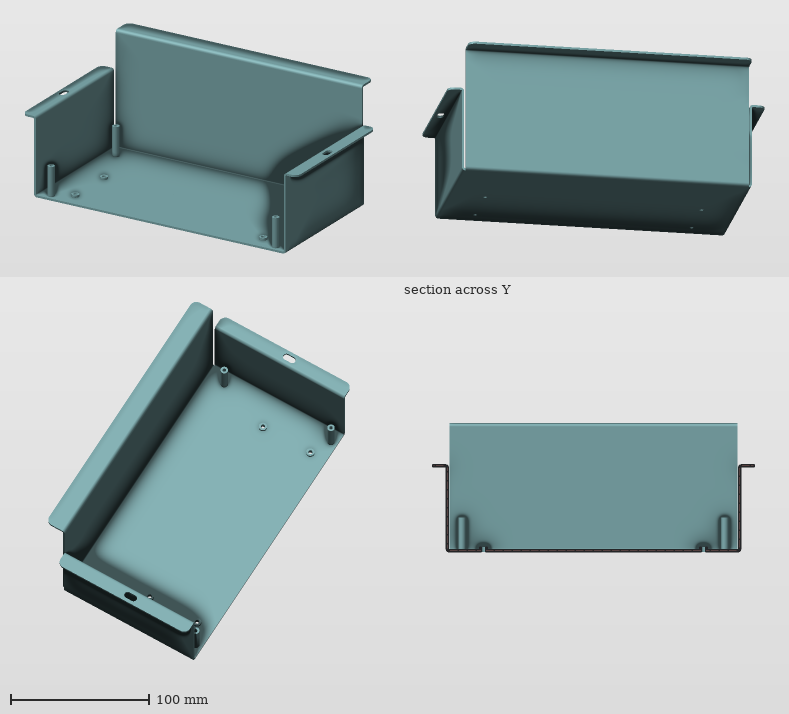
import cadquery as cq
import math

sheet = 1.6
inner_bend = 0.8
outer_bend = inner_bend + sheet

flange_span = 233.0
total_depth = 126.0
back_height = 93.0
side_height = 63.0
side_flange = 10.0
back_flange = 14.6
flange_corner = 5.0

wall_half_width = flange_span / 2 - side_flange
wall_depth = total_depth - back_flange
floor_half_width = wall_half_width - outer_bend
floor_depth = wall_depth - outer_bend

slot_length = 10.0
slot_width = 5.0
slot_inset = 5.0

pin_spacing_x = 190.0
pin_spacing_y = 90.0
pin_front_y = 5.0
pin_diameter = 5.4
pin_bore = 2.5
pin_height = 23.4
pin_middle_y = pin_front_y + pin_spacing_y / 2

bush_spacing_x = 159.0
bush_spacing_y = 40.0
bush_front_y = 13.1
bush_diameter = 6.0
bush_bore = 3.0
bush_height = 1.8
bush_middle_y = bush_front_y + bush_spacing_y / 2


def bent_wall(workplane, wall, tip, height, length):
    """Extrude a Z-shaped sheet strip: floor bend, upright wall, then a flange turned outwards.

    Along the workplane's first axis, the outer wall face is at `wall` and the flange ends at `tip`.
    """
    diagonal = math.sqrt(0.5)
    root = wall - outer_bend
    inside = wall - sheet
    lower_out = (root + outer_bend * diagonal, outer_bend - outer_bend * diagonal)
    lower_in = (root + inner_bend * diagonal, outer_bend - inner_bend * diagonal)
    bend_x = inside + outer_bend
    bend_z = height - outer_bend
    upper_out = (bend_x - outer_bend * diagonal, bend_z + outer_bend * diagonal)
    upper_in = (bend_x - inner_bend * diagonal, bend_z + inner_bend * diagonal)
    return (
        workplane.moveTo(root, 0)
        .threePointArc(lower_out, (wall, outer_bend))
        .lineTo(wall, bend_z)
        .threePointArc(upper_in, (bend_x, height - sheet))
        .lineTo(tip, height - sheet)
        .lineTo(tip, height)
        .lineTo(bend_x, height)
        .threePointArc(upper_out, (inside, bend_z))
        .lineTo(inside, outer_bend)
        .threePointArc(lower_in, (root, sheet))
        .close()
        .extrude(length)
    )


def make_floor():
    return cq.Workplane("XY").box(
        2 * floor_half_width, floor_depth, sheet, centered=(True, False, False)
    )


def make_right_side():
    wall = bent_wall(
        cq.Workplane("XZ"), wall_half_width, flange_span / 2, side_height, -floor_depth
    )
    wall = wall.faces(">X").edges("|Z").fillet(flange_corner)
    slot = (
        cq.Workplane("XY", origin=(flange_span / 2 - slot_inset, pin_middle_y, side_height - sheet))
        .slot2D(slot_length, slot_width, 90)
        .extrude(sheet)
    )
    return wall.cut(slot)


def make_back():
    wall = bent_wall(
        cq.Workplane("YZ", origin=(-floor_half_width, 0, 0)),
        wall_depth,
        total_depth,
        back_height,
        2 * floor_half_width,
    )
    return wall.faces(">Y").edges("|Z").fillet(flange_corner)


def grid(middle_y, spacing_x, spacing_y, height):
    """Workplane at the given height holding the four corners of a rectangle centred on X = 0."""
    return cq.Workplane("XY", origin=(0, middle_y, height)).rarray(spacing_x, spacing_y, 2, 2)


def add_pins(body):
    pins = grid(pin_middle_y, pin_spacing_x, pin_spacing_y, sheet).circle(pin_diameter / 2)
    bores = grid(pin_middle_y, pin_spacing_x, pin_spacing_y, sheet).circle(pin_bore / 2)
    return body.union(pins.extrude(pin_height)).cut(bores.extrude(pin_height))


def add_bushes(body):
    bushes = grid(bush_middle_y, bush_spacing_x, bush_spacing_y, sheet).circle(bush_diameter / 2)
    bores = grid(bush_middle_y, bush_spacing_x, bush_spacing_y, 0).circle(bush_bore / 2)
    return body.union(bushes.extrude(bush_height)).cut(bores.extrude(sheet + bush_height))


right_side = make_right_side()
left_side = right_side.mirror("YZ")
tray = make_floor().union(right_side).union(left_side).union(make_back())
result = add_bushes(add_pins(tray))